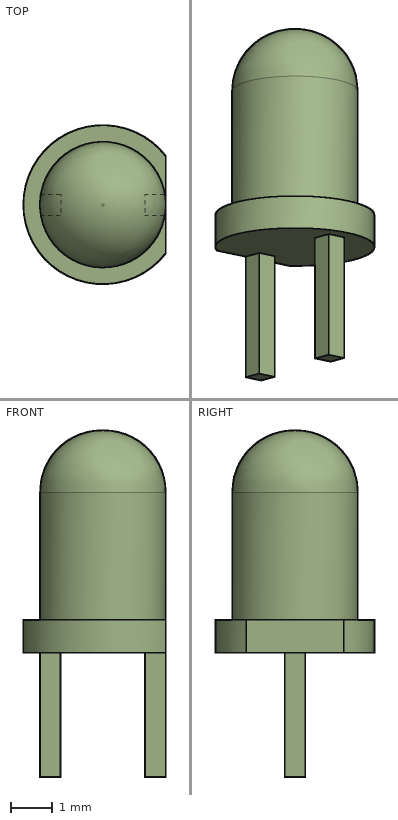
import cadquery as cq

total_height = 8.38
lens_diameter = 3.04
flange_diameter = 3.85
flange_thickness = 0.8
lead_length = 3.0
lead_width = 0.5
dome_tip_radius = 0.025

lens_radius = lens_diameter / 2
dome_radius = lens_radius - dome_tip_radius
lens_height = total_height - lead_length
flat_x = lens_radius
lead_offset = lens_radius - lead_width / 2


def make_flange():
    """Round flange with a flat on its +X side."""
    disc = (
        cq.Workplane("XY")
        .workplane(offset=lead_length)
        .circle(flange_diameter / 2)
        .extrude(flange_thickness)
    )
    cutter = (
        cq.Workplane("XY")
        .workplane(offset=lead_length)
        .center(flat_x + flange_diameter / 2, 0)
        .rect(flange_diameter, flange_diameter)
        .extrude(flange_thickness)
    )
    return disc.cut(cutter)


def make_housing():
    """Flange and domed lens as one body."""
    lens = (
        cq.Workplane("XY")
        .workplane(offset=lead_length)
        .circle(lens_radius)
        .extrude(lens_height)
        .faces(">Z")
        .edges()
        .fillet(dome_radius)
    )
    return make_flange().union(lens)


def make_lead(x):
    """Square lead that ends at the underside of the flange."""
    return cq.Workplane("XY").center(x, 0).rect(lead_width, lead_width).extrude(lead_length)


housing = make_housing()
leads = [make_lead(x) for x in (-lead_offset, lead_offset)]

result = cq.Compound.makeCompound([housing.solids().val(), *[lead.val() for lead in leads]])